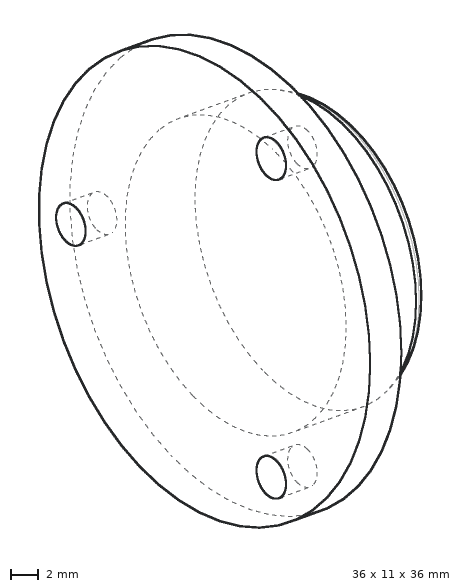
import cadquery as cq
import math

flange_diameter = 36.0
flange_thickness = 3.0

total_depth = 11.0
boss_diameter = 24.0

rim_depth = 1.35
rim_radius = 1.35
cone_angle = math.radians(20)

hole_count = 3
hole_diameter = 3.2
hole_circle_radius = 14.5
first_hole_angle = 180


def flange():
    holes = (
        cq.Workplane("XZ")
        .polarArray(hole_circle_radius, first_hole_angle, 360, hole_count)
        .circle(hole_diameter / 2)
        .extrude(-flange_thickness)
    )
    plate = cq.Workplane("XZ").circle(flange_diameter / 2).extrude(-flange_thickness)
    return plate.cut(holes)


def boss():
    """Solid of revolution about Y, drawn as a half profile in the XY plane."""
    boss_radius = boss_diameter / 2
    cone_start = total_depth - rim_depth

    arc_center_y = total_depth - rim_radius
    cone_end_y = arc_center_y + rim_radius * math.sin(cone_angle)
    cone_end_x = boss_radius - (cone_end_y - cone_start) * math.tan(cone_angle)
    arc_center_x = cone_end_x - rim_radius * math.cos(cone_angle)

    middle_angle = (cone_angle + math.pi / 2) / 2
    arc_middle = (
        arc_center_x + rim_radius * math.cos(middle_angle),
        arc_center_y + rim_radius * math.sin(middle_angle),
    )

    return (
        cq.Workplane("XY")
        .lineTo(boss_radius, 0)
        .lineTo(boss_radius, cone_start)
        .lineTo(cone_end_x, cone_end_y)
        .threePointArc(arc_middle, (arc_center_x, total_depth))
        .lineTo(0, total_depth)
        .close()
        .revolve(360, (0, 0, 0), (0, 1, 0))
    )


result = flange().union(boss())